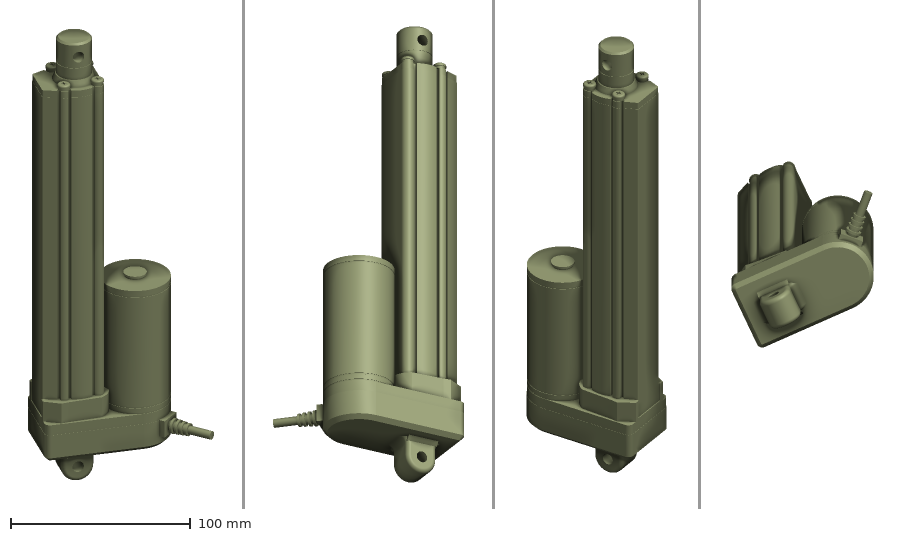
import cadquery as cq
import math


rod_top_z = 272.8
housing_bottom_z = 20.0
housing_seam_z = 36.5
housing_top_z = 42.8
collar_top_z = 55.0
cap_bottom_z = 242.8
cap_top_z = 247.0

housing_width = 40.0
housing_half = housing_width / 2
motor_y = 35.2
front_y = -21.8
housing_corner = 3.3
housing_bottom_chamfer = 2.5
seam_inset = 0.15
motor_radius = 20.0
motor_top_z = 119.5
motor_groove_height = 0.8
motor_groove_levels = (housing_top_z + motor_groove_height / 2, 47.0, 115.7)
motor_groove_depth = 0.3
hub_diameter = 13.0
hub_neck_diameter = 12.0
hub_top_z = 121.7
hub_flange_height = 1.0

tube_front_y = -21.3
tube_rear_y = 14.2
tube_radius = 16.5
keel_front_half = 10.6
keel_rear_half = 14.0
keel_rear_y = -13.0
keel_fillet = 0.8
rear_wall_half = 11.2
lobe_radius = 3.8
side_groove_width = 1.6
side_groove_floors = [(13.5, 7.5), (13.5, -6.5), (12.5, -12.5)]
front_screws = [(-12.3, -9.3), (12.3, -9.3)]
rear_screws = [(-11.2, 10.5), (11.2, 10.5)]
screw_positions = front_screws + rear_screws

collar_wall = [(14.0, front_y), (19.0, -12.5), (18.5, -8.2), (17.5, 11.2)]
collar_arc_mid = (14.2, 15.3)
collar_rear = (9.8, 17.5)
window_half = 11.2
window_bottom_z = 44.0

rod_diameter = 20.0
rod_chamfer = 1.0
rod_seam_z = 257.5
rod_seam_height = 0.4
rod_seam_depth = 0.3
pin_diameter = 6.5
rod_pin_z = 264.3
wiper_top_z = 250.5
wiper_top_radius = 10.6
wiper_bottom_radius = 12.3

screw_shank_diameter = 6.5
screw_head_diameter = 7.5
screw_head_bottom_z = 248.5
screw_head_top_z = 250.5
screw_head_fillet = 1.0
cross_length = 3.3
cross_width = 0.8
cross_depth = 1.0

eye_radius = 9.3
eye_half_width = 8.7
eye_edge_fillet = 2.5
eye_flare = 4.0
eye_root = 6.8
eye_foot_half = 11.0
eye_foot_height = 2.5

cable_angle = 45
cable_z = 32.0
cable_diameter = 5.0
cable_end = 49.0
relief_flange_width = 13.0
relief_flange_height = 10.0
relief_flange_start = 19.0
relief_flange_end = 22.6
relief_end = 35.0
relief_core_diameter = 6.0
relief_ring_count = 4
relief_first_ring_diameter = 9.0
relief_last_ring_diameter = 7.5
relief_ring_thickness = 1.5


def cylinder(radius, bottom, top, x=0, y=0):
    """Upright cylinder between two levels."""
    return cq.Workplane("XY", origin=(x, y, bottom)).circle(radius).extrude(top - bottom)


def mirrored(points):
    """The same points on the -X side, in reverse order."""
    return [(-x, y) for x, y in reversed(points)]


def housing_block(bottom, top, inset=0.0):
    """Gear housing slab: round around the motor, square at the front."""
    half = housing_half - inset
    front = front_y + inset
    block = (
        cq.Workplane("XY", origin=(0, 0, bottom))
        .moveTo(-half, front)
        .lineTo(half, front)
        .lineTo(half, motor_y)
        .threePointArc((0, motor_y + half), (-half, motor_y))
        .close()
        .extrude(top - bottom)
    )
    return block.edges("|Z and <Y").fillet(housing_corner)


def make_housing():
    lower = housing_block(housing_bottom_z, housing_seam_z)
    lower = lower.faces("<Z").chamfer(housing_bottom_chamfer)
    return lower.union(housing_block(housing_seam_z, housing_top_z, seam_inset))


def make_motor():
    motor = cylinder(motor_radius, housing_top_z, motor_top_z, y=motor_y)
    for level in motor_groove_levels:
        low = level - motor_groove_height / 2
        high = level + motor_groove_height / 2
        ring = cylinder(2 * motor_radius, low, high, y=motor_y)
        core = cylinder(motor_radius - motor_groove_depth, low, high, y=motor_y)
        motor = motor.cut(ring.cut(core))
    flange_z = hub_top_z - hub_flange_height
    neck = cylinder(hub_neck_diameter / 2, motor_top_z, flange_z, y=motor_y)
    flange = cylinder(hub_diameter / 2, flange_z, hub_top_z, y=motor_y)
    return motor.union(neck).union(flange)


def tube_section(bottom, top, inset=0.0):
    """Tube profile: round sides, four screw lobes, a rear wall, a front keel and side grooves."""
    height = top - bottom
    rear = tube_rear_y - inset
    radius = tube_radius - inset
    section = cylinder(radius, bottom, top)
    beyond_rear = (
        cq.Workplane("XY", origin=(0, rear + radius, bottom))
        .rect(4 * radius, 2 * radius)
        .extrude(height)
    )
    section = section.cut(beyond_rear)
    rear_wall = (
        cq.Workplane("XY", origin=(0, rear / 2, bottom))
        .rect(2 * rear_wall_half, rear)
        .extrude(height)
    )
    keel_side = [
        (keel_front_half - inset, tube_front_y + inset),
        (keel_rear_half - inset, keel_rear_y),
        (keel_rear_half - inset, 0),
    ]
    keel = (
        cq.Workplane("XY", origin=(0, 0, bottom))
        .polyline(keel_side + mirrored(keel_side))
        .close()
        .extrude(height)
        .edges("|Z and <Y")
        .fillet(keel_fillet)
    )
    section = section.union(rear_wall).union(keel)
    for x, y in screw_positions:
        section = section.union(cylinder(lobe_radius - inset, bottom, top, x, y))
    for floor_x, groove_y in side_groove_floors:
        for side in (-1, 1):
            groove_x = side * (floor_x + radius / 2)
            groove = (
                cq.Workplane("XY", origin=(groove_x, groove_y, bottom))
                .rect(radius, side_groove_width)
                .extrude(height)
            )
            section = section.cut(groove)
    return section


def make_tube():
    tube = tube_section(housing_top_z, cap_bottom_z)
    return tube.union(tube_section(cap_bottom_z, cap_top_z, seam_inset))


def make_collar():
    """Wall around the tube foot, open at the front so that the keel shows."""
    height = collar_top_z - housing_top_z
    collar = cq.Workplane("XY", origin=(0, 0, housing_top_z)).moveTo(*collar_wall[0])
    for point in collar_wall[1:]:
        collar = collar.lineTo(*point)
    arc_mid_x, arc_mid_y = collar_arc_mid
    rear_x, rear_y = collar_rear
    collar = (
        collar.threePointArc(collar_arc_mid, collar_rear)
        .lineTo(-rear_x, rear_y)
        .threePointArc((-arc_mid_x, arc_mid_y), mirrored(collar_wall)[0])
    )
    for point in mirrored(collar_wall)[1:]:
        collar = collar.lineTo(*point)
    collar = collar.close().extrude(height)
    window = cq.Workplane("XY").box(
        2 * window_half, 2 * (tube_front_y - front_y), height, centered=(True, True, False)
    )
    return collar.cut(window.translate((0, front_y, window_bottom_z)))


def make_rod():
    rod = cylinder(rod_diameter / 2, cap_top_z, rod_top_z).faces(">Z").chamfer(rod_chamfer)
    seam = cylinder(rod_diameter, rod_seam_z, rod_seam_z + rod_seam_height)
    seam_core_radius = rod_diameter / 2 - rod_seam_depth
    seam = seam.cut(cylinder(seam_core_radius, rod_seam_z, rod_seam_z + rod_seam_height))
    wiper = (
        cq.Workplane("XZ")
        .moveTo(0, cap_top_z)
        .lineTo(wiper_bottom_radius, cap_top_z)
        .lineTo(wiper_top_radius, wiper_top_z)
        .lineTo(0, wiper_top_z)
        .close()
        .revolve(360, (0, 0), (0, 1))
    )
    return rod.cut(seam).union(wiper).cut(pin_hole(rod_pin_z))


def pin_hole(z):
    """Cross hole along X through the rod axis."""
    return (
        cq.Workplane("YZ")
        .center(0, z)
        .circle(pin_diameter / 2)
        .extrude(housing_half, both=True)
    )


def make_screw(x, y):
    """Cap screw with a rounded head and a cross recess."""
    shank = cylinder(screw_shank_diameter / 2, cap_top_z, screw_head_bottom_z, x, y)
    head = cylinder(screw_head_diameter / 2, screw_head_bottom_z, screw_head_top_z, x, y)
    head = head.faces(">Z").edges().fillet(screw_head_fillet)
    recess = (
        cq.Workplane("XY", origin=(x, y, screw_head_top_z - cross_depth))
        .rect(cross_length, cross_width)
        .extrude(cross_depth)
    )
    crossed = recess.rotate((x, y, 0), (x, y, 1), 90)
    return shank.union(head).cut(recess).cut(crossed)


def make_eye():
    """Rounded eye below the housing, flaring out where it meets the bottom."""
    flare_start_z = housing_bottom_z - eye_flare
    flare_drop = eye_flare * math.sin(math.radians(45))
    flare_mid_y = eye_radius + eye_flare - flare_drop
    flare_mid_z = flare_start_z + flare_drop
    flare_end_y = eye_radius + eye_flare
    eye = (
        cq.Workplane("YZ")
        .moveTo(-eye_radius, eye_radius)
        .threePointArc((0, 0), (eye_radius, eye_radius))
        .lineTo(eye_radius, flare_start_z)
        .threePointArc((flare_mid_y, flare_mid_z), (flare_end_y, housing_bottom_z))
        .lineTo(flare_end_y, housing_bottom_z + eye_root)
        .lineTo(-flare_end_y, housing_bottom_z + eye_root)
        .lineTo(-flare_end_y, housing_bottom_z)
        .threePointArc((-flare_mid_y, flare_mid_z), (-eye_radius, flare_start_z))
        .close()
        .extrude(eye_half_width, both=True)
    )
    eye = eye.edges("(<X or >X) and (not >Z)").fillet(eye_edge_fillet)
    foot_side = [
        (eye_half_width, housing_bottom_z - eye_foot_height),
        (eye_foot_half, housing_bottom_z),
    ]
    foot = (
        cq.Workplane("XZ")
        .polyline(foot_side + mirrored(foot_side))
        .close()
        .extrude(eye_radius, both=True)
    )
    return eye.union(foot).cut(pin_hole(eye_radius))


def make_cable():
    """Cable and ribbed strain relief, built along +X and then turned about the motor axis."""

    def disc(diameter, start, end):
        plane = cq.Workplane("YZ", origin=(start, 0, 0))
        return plane.circle(diameter / 2).extrude(end - start)

    cable = disc(cable_diameter, relief_flange_start, cable_end)
    cable = cable.union(disc(relief_core_diameter, relief_flange_start, relief_end))
    flange = (
        cq.Workplane("YZ", origin=(relief_flange_start, 0, 0))
        .rect(relief_flange_width, relief_flange_height)
        .extrude(relief_flange_end - relief_flange_start)
    )
    cable = cable.union(flange)
    pitch = (relief_end - relief_flange_end) / relief_ring_count
    shrink = (relief_first_ring_diameter - relief_last_ring_diameter) / (relief_ring_count - 1)
    for index in range(relief_ring_count):
        ring_end = relief_flange_end + pitch * (index + 1)
        diameter = relief_first_ring_diameter - shrink * index
        cable = cable.union(disc(diameter, ring_end - relief_ring_thickness, ring_end))
    return cable.rotate((0, 0, 0), (0, 0, 1), cable_angle).translate((0, motor_y, cable_z))


result = make_housing()
for piece in (make_motor(), make_tube(), make_collar(), make_rod(), make_eye(), make_cable()):
    result = result.union(piece)
for screw_x, screw_y in screw_positions:
    result = result.union(make_screw(screw_x, screw_y))